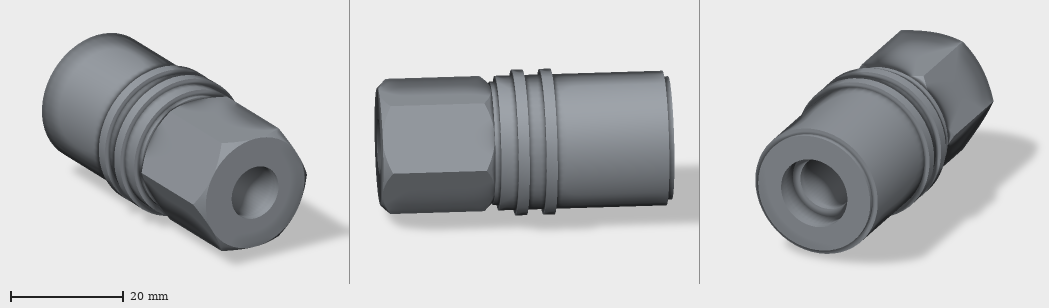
import cadquery as cq
import math

total_length = 52.0
step_length = 1.0
hex_length = 20.0
ring_width = 2.0
first_ring_start = 21.0
ring_pitch = 5.0
ring_count = 2
socket_depth = 5.0

ring_diameter = 26.0
sleeve_diameter = 24.0
step_diameter = 22.0
socket_diameter = 13.0
bore_diameter = 10.0
hex_across_flats = 21.0

hex_start = total_length - hex_length
hex_across_corners = hex_across_flats / math.cos(math.pi / 6)
hex_chamfer = (hex_across_corners - hex_across_flats) / 2


def cylinder(start, length, diameter):
    """Solid cylinder on the X axis, running toward +X from start."""
    return cq.Workplane("YZ", origin=(start, 0, 0)).circle(diameter / 2).extrude(length)


def sleeve():
    """Round body with a narrower shoulder at both ends and raised grip rings."""
    body = cylinder(0, hex_start, step_diameter)
    body = body.union(cylinder(step_length, hex_start - 2 * step_length, sleeve_diameter))
    for index in range(ring_count):
        start = first_ring_start + index * ring_pitch
        body = body.union(cylinder(start, ring_width, ring_diameter))
    return body


def hex_end():
    """Hexagon with corners on the Y axis, its corners trimmed by a cone at each end."""
    prism = (
        cq.Workplane("YZ", origin=(hex_start, 0, 0))
        .polygon(6, hex_across_corners)
        .extrude(hex_length)
    )
    trim = cylinder(hex_start, hex_length, hex_across_corners).edges().chamfer(hex_chamfer)
    return prism.intersect(trim)


part = sleeve().union(hex_end())
part = part.cut(cylinder(0, total_length, bore_diameter))
part = part.cut(cylinder(0, socket_depth, socket_diameter))

result = part